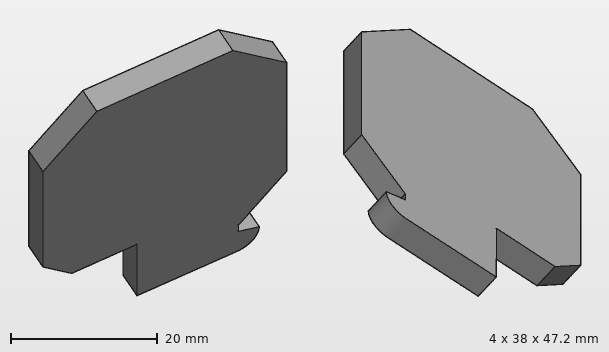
import cadquery as cq
import math

thickness = 4.0
width = 38.0
height = 47.2
half_width = width / 2
half_height = height / 2

top_chamfer = 8.4
hook_side_chamfer = 7.55
free_side_chamfer = 4.5

body_bottom = -half_height + 12.1
foot_edge_y = -4.35
foot_bottom = -half_height + 0.1

notch_y = half_width - hook_side_chamfer
notch_top = -half_height + 5.95
notch_bottom = notch_top - 1.4
hook_tip_y = 14.75
hook_radius = 3.45
hook_center_y = hook_tip_y - hook_radius
hook_center_z = -half_height + hook_radius
arc_offset = hook_radius * math.sqrt(0.5)

outline = (
    cq.Workplane("YZ")
    .moveTo(half_width - top_chamfer, half_height)
    .lineTo(half_width, half_height - top_chamfer)
    .lineTo(half_width, notch_top + hook_side_chamfer)
    .lineTo(notch_y, notch_top)
    .lineTo(notch_y, notch_bottom)
    .lineTo(hook_tip_y, hook_center_z)
    .threePointArc(
        (hook_center_y + arc_offset, hook_center_z - arc_offset),
        (hook_center_y, -half_height),
    )
    .lineTo(foot_edge_y, foot_bottom)
    .lineTo(foot_edge_y, body_bottom)
    .lineTo(-half_width + free_side_chamfer, body_bottom)
    .lineTo(-half_width, body_bottom + free_side_chamfer)
    .lineTo(-half_width, half_height - top_chamfer)
    .lineTo(-half_width + top_chamfer, half_height)
    .close()
)

result = outline.extrude(thickness / 2, both=True)